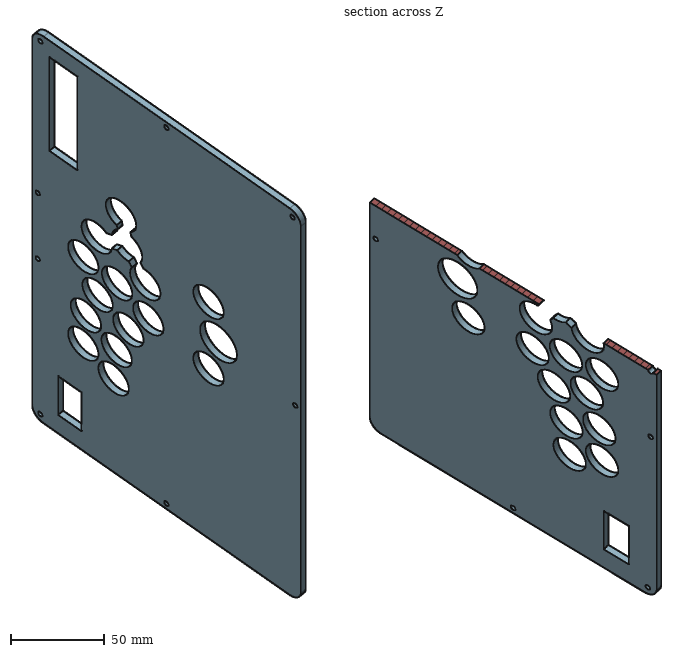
import cadquery as cq
import math

WIDTH = 196.0
HEIGHT = 316.0
THICKNESS = 4.0
CORNER_RADIUS = 8.2

SCREW_DIAMETER = 3.2
CORNER_SCREW_X = 92.0
CORNER_SCREW_Z = 152.3
END_SCREW_Z = 153.5
SIDE_SCREW_X = 94.0
LEFT_SCREW_Z = 27.0
SCREW_CENTRES = [
    (-CORNER_SCREW_X, CORNER_SCREW_Z),
    (CORNER_SCREW_X, CORNER_SCREW_Z),
    (-CORNER_SCREW_X, -CORNER_SCREW_Z),
    (0, END_SCREW_Z),
    (0, -END_SCREW_Z),
    (-SIDE_SCREW_X, LEFT_SCREW_Z),
    (-SIDE_SCREW_X, -LEFT_SCREW_Z),
    (SIDE_SCREW_X, 0),
]

BUTTON_DIAMETER = 22.0
BUTTON_CENTRES = [
    (-60.7, 0.3),
    (-36.0, -2.0),
    (-13.3, -12.5),
    (-50.2, -22.5),
    (-27.8, -33.2),
    (-58.8, -45.8),
    (-36.3, -56.5),
    (-60.7, -70.5),
    (-38.5, -81.5),
]

LARGE_BUTTON_DIAMETER = 27.0
LARGE_BUTTON_CENTRE = (38.0, 8.0)
SIDE_BUTTON_X = 30.5
SIDE_BUTTON_OFFSET = 27.2

HUB_CENTRE = (-28.8, 33.8)
HUB_NEIGHBOURS = [(-33.2, 56.2), (-51.0, 24.5), (-15.5, 14.2)]
NECK_WIDTH = 10.0

TALL_WINDOW_SIZE = (20.2, 76.5)
TALL_WINDOW_CENTRE = (-75.2, 106.2)
SHORT_WINDOW_SIZE = (17.0, 31.5)
SHORT_WINDOW_CENTRE = (-70.5, -127.0)


def extrude_through(sketch):
    """Extrude a profile symmetrically through the plate thickness."""
    return sketch.extrude(THICKNESS / 2, both=True)


def round_cutters(centres, diameter):
    return extrude_through(cq.Workplane("XZ").pushPoints(centres).circle(diameter / 2))


def window_cutter(centre, size):
    return extrude_through(cq.Workplane("XZ").center(*centre).rect(*size))


def neck_cutter(start, end):
    """Straight channel running between two hole centres."""
    dx = end[0] - start[0]
    dz = end[1] - start[1]
    middle = ((start[0] + end[0]) / 2, (start[1] + end[1]) / 2)
    channel = cq.Workplane("XZ").center(*middle).transformed(
        rotate=(0, 0, math.degrees(math.atan2(dz, dx)))
    )
    return extrude_through(channel.rect(math.hypot(dx, dz), NECK_WIDTH))


plate = extrude_through(cq.Workplane("XZ").rect(WIDTH, HEIGHT))
plate = plate.edges("|Y").fillet(CORNER_RADIUS)

side_buttons = [
    (SIDE_BUTTON_X, LARGE_BUTTON_CENTRE[1] + side * SIDE_BUTTON_OFFSET) for side in (1, -1)
]
regular_buttons = BUTTON_CENTRES + side_buttons + [HUB_CENTRE] + HUB_NEIGHBOURS

plate = plate.cut(round_cutters(SCREW_CENTRES, SCREW_DIAMETER))
plate = plate.cut(round_cutters(regular_buttons, BUTTON_DIAMETER))
plate = plate.cut(round_cutters([LARGE_BUTTON_CENTRE], LARGE_BUTTON_DIAMETER))
for neighbour in HUB_NEIGHBOURS:
    plate = plate.cut(neck_cutter(HUB_CENTRE, neighbour))
plate = plate.cut(window_cutter(TALL_WINDOW_CENTRE, TALL_WINDOW_SIZE))
plate = plate.cut(window_cutter(SHORT_WINDOW_CENTRE, SHORT_WINDOW_SIZE))

result = plate